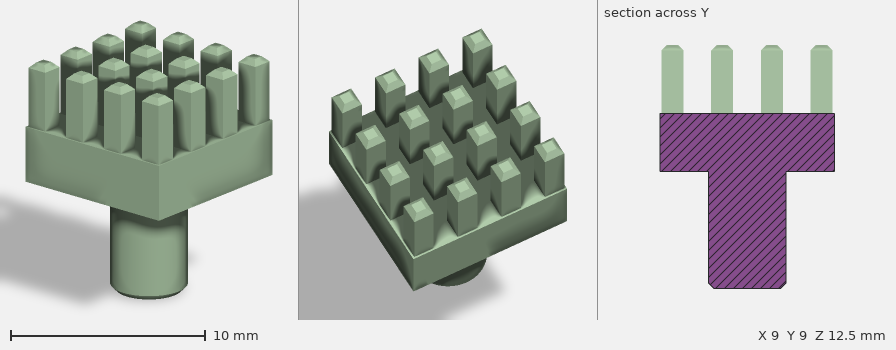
import cadquery as cq

base_side = 9.0
base_height = 3.0

peg_diameter = 4.0
peg_length = 6.0
peg_chamfer = 0.29

pins_per_side = 4
pin_pitch = 2.55
pin_side = 1.14
pin_height = 3.5
pin_chamfer = 0.29


def make_base():
    """Plate centred on the Z axis, its underside at Z = 0."""
    return cq.Workplane("XY").box(base_side, base_side, base_height, centered=(True, True, False))


def make_peg():
    """Cylinder hanging from the base, with a chamfered lower end."""
    peg = cq.Workplane("XY").circle(peg_diameter / 2).extrude(-peg_length)
    return peg.faces("<Z").chamfer(peg_chamfer)


def make_pins():
    """Square grid of pins, each chamfered around its top."""
    pins = (
        cq.Workplane("XY", origin=(0, 0, base_height))
        .rarray(pin_pitch, pin_pitch, pins_per_side, pins_per_side)
        .rect(pin_side, pin_side)
        .extrude(pin_height)
    )
    return pins.faces(">Z").chamfer(pin_chamfer)


result = make_base().union(make_peg()).union(make_pins())